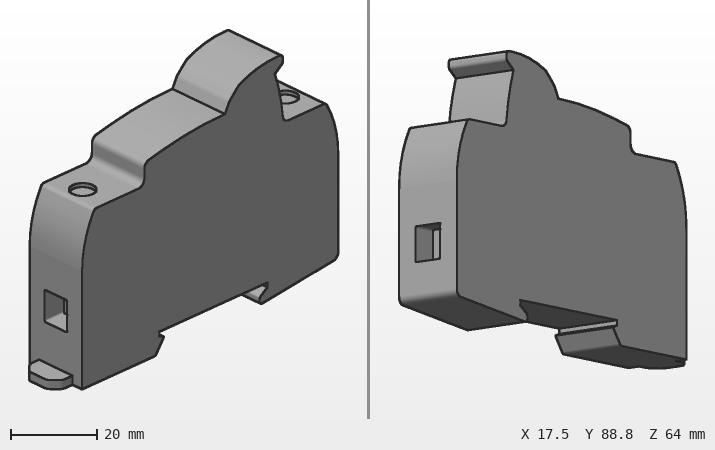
import cadquery as cq
import math


width = 17.5
total_length = 88.8
total_height = 64.0
clip_reach = 5.8
body_length = total_length - clip_reach

wall_top = 31.1
shelf_height = 46.0
shoulder_radius = 29.6
shoulder_round = 1.3

step_y = 20.15
deck_slope_start = 26.2
deck_slope_height = 53.3
deck_front_height = 52.0
deck_back_y = 46.3
deck_back_height = 55.2
deck_radius = 100.3
step_round = 1.95

handle_front_bend = (47.7, 58.0)
handle_front_bulge = (49.5, 59.85)
handle_front_top = (51.0, 61.3)
handle_crest_y = 63.0
crest_radius = 27.5
handle_tip_y = 65.1
handle_tip_low = 61.8
handle_neck = (62.5, 59.8)
handle_back_bulge = (64.2, 53.3)
handle_back_foot_y = 65.2
handle_bend_round = 2.7
handle_front_round = 1.3
handle_tip_round = 1.1
handle_foot_round = 1.8

rail_roof = 5.9
rail_lip = 4.6
rail_front_y = 25.1
rail_back_y = 60.0
front_hook_point = (26.55, 4.0)
front_hook_foot_y = 23.8
front_hook_round = 1.1
back_hook_y = 57.5
back_hook_top = 2.8
back_hook_bottom = 0.9
back_hook_round = 0.7
back_corner_height = 3.8
back_corner_round = 1.8

screw_diameter = 6.4
screw_depth = 1.1
screw_inset = 8.7
opening_width = 7.5
opening_height = 8.4
opening_bottom = 13.05
opening_depth = 6.2
opening_round = 0.4

clip_width = 11.1
clip_thickness = 2.4
clip_chamfer = 2.6
clip_round = 1.95


def shoulder_inset(height):
    """How far the shoulder arc has moved inward from the end wall at a height."""
    rise = height - wall_top
    return shoulder_radius - math.sqrt(shoulder_radius**2 - rise**2)


def make_housing():
    """Side profile extruded across the full width, with its corners rounded."""
    shoulder_mid = (wall_top + shelf_height) / 2
    mid_inset = shoulder_inset(shoulder_mid)
    top_inset = shoulder_inset(shelf_height)
    crest = (handle_crest_y, total_height)
    step_top = (step_y, deck_front_height)
    back_foot = (handle_back_foot_y, shelf_height)
    hook_tip = (back_hook_y, back_hook_bottom)
    back_corner = (body_length, back_corner_height)
    hook_foot = (front_hook_foot_y, 0)

    outline = (
        cq.Workplane("YZ")
        .moveTo(0, 0)
        .lineTo(0, wall_top)
        .threePointArc((mid_inset, shoulder_mid), (top_inset, shelf_height))
        .lineTo(step_y, shelf_height)
        .lineTo(*step_top)
        .lineTo(deck_slope_start, deck_slope_height)
        .radiusArc((deck_back_y, deck_back_height), deck_radius)
        .lineTo(*handle_front_bend)
        .threePointArc(handle_front_bulge, handle_front_top)
        .radiusArc(crest, crest_radius)
        .lineTo(handle_tip_y, total_height)
        .lineTo(handle_tip_y, handle_tip_low)
        .lineTo(*handle_neck)
        .threePointArc(handle_back_bulge, back_foot)
        .lineTo(body_length - top_inset, shelf_height)
        .threePointArc((body_length - mid_inset, shoulder_mid), (body_length, wall_top))
        .lineTo(*back_corner)
        .lineTo(*hook_tip)
        .lineTo(back_hook_y, back_hook_top)
        .lineTo(rail_back_y, rail_lip)
        .lineTo(rail_back_y, rail_roof)
        .lineTo(rail_front_y, rail_roof)
        .lineTo(rail_front_y, rail_lip)
        .lineTo(*front_hook_point)
        .lineTo(*hook_foot)
        .close()
    )
    housing = outline.extrude(width / 2, both=True)

    rounded_corners = [
        ((top_inset, shelf_height), shoulder_round),
        ((body_length - top_inset, shelf_height), shoulder_round),
        ((step_y, shelf_height), step_round),
        (step_top, step_round),
        (handle_front_bend, handle_bend_round),
        (handle_front_top, handle_front_round),
        ((handle_tip_y, total_height), handle_tip_round),
        ((handle_tip_y, handle_tip_low), handle_tip_round),
        (back_foot, handle_foot_round),
        (back_corner, back_corner_round),
        (hook_tip, back_hook_round),
        ((back_hook_y, back_hook_top), back_hook_round),
        (hook_foot, front_hook_round),
    ]
    for (y, z), radius in rounded_corners:
        corner_edge = cq.selectors.NearestToPointSelector((0, y, z))
        housing = housing.edges("|X").edges(corner_edge).fillet(radius)
    return housing


def make_screw_recesses():
    """Shallow round recesses, one in each shelf."""
    return (
        cq.Workplane("XY", origin=(0, 0, shelf_height - screw_depth))
        .pushPoints([(0, screw_inset), (0, body_length - screw_inset)])
        .circle(screw_diameter / 2)
        .extrude(screw_depth)
    )


def make_wire_opening(start_y):
    """Rounded pocket volume running inward along Y from start_y."""
    opening = cq.Workplane("XY").box(
        opening_width, opening_depth, opening_height, centered=(True, False, False)
    )
    return opening.edges("|Y").fillet(opening_round).translate((0, start_y, opening_bottom))


def make_clip():
    """Thin tab on the front wall, with bevelled and rounded outer corners."""
    clip = cq.Workplane("XY").box(
        clip_width, clip_reach, clip_thickness, centered=(True, False, False)
    ).translate((0, -clip_reach, 0))
    clip = clip.faces("<Y").edges("|Z").chamfer(clip_chamfer)
    sides_and_tip = clip.edges("|Z").edges("not(>Y)")
    return sides_and_tip.fillet(clip_round)


result = (
    make_housing()
    .cut(make_screw_recesses())
    .cut(make_wire_opening(0))
    .cut(make_wire_opening(body_length - opening_depth))
    .union(make_clip())
)